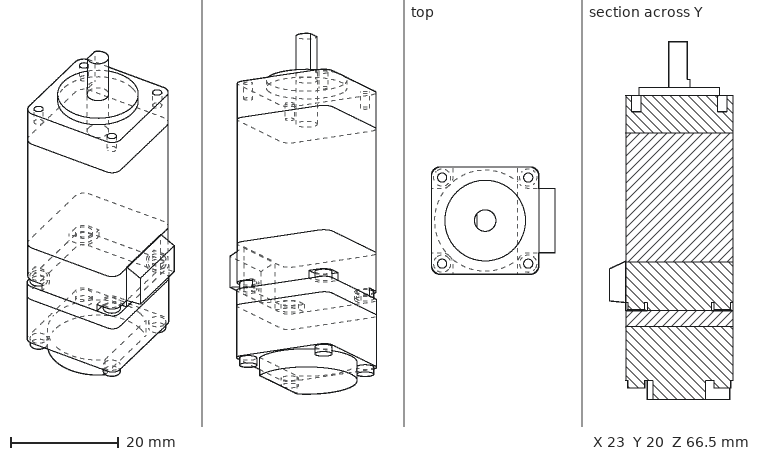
import cadquery as cq

frame_width = 20.0
screw_offset = 8.0
motor_corner_radius = 1.9
encoder_corner_radius = 1.6

socket_height = 3.5
encoder_case_height = 10.0
encoder_plate_height = 3.0
rear_cover_height = 9.0
stator_height = 24.0
front_cover_height = 7.0
pilot_height = 1.5
shaft_projection = 8.5

encoder_case_base = socket_height
encoder_plate_base = encoder_case_base + encoder_case_height
rear_cover_base = encoder_plate_base + encoder_plate_height
stator_base = rear_cover_base + rear_cover_height
front_cover_base = stator_base + stator_height
mounting_face = front_cover_base + front_cover_height
pilot_top = mounting_face + pilot_height
shaft_top = pilot_top + shaft_projection

pilot_diameter = 15.0
mounting_hole_diameter = 1.7
mounting_hole_depth = 3.0
shaft_diameter = 4.0
shaft_flat_offset = 1.5
shaft_flat_length = 7.0

screw_head_diameter = 3.2
encoder_screw_head_height = 1.4
motor_screw_head_height = 1.3
relief_radius = 2.0
relief_depth = 1.5

connector_projection = 3.0
connector_width = 12.0
connector_overhang = 0.2
connector_top = stator_base + connector_overhang
connector_top_drop = 1.4
connector_base = rear_cover_base + relief_depth
connector_underside_rise = 0.3

socket_diameter = 18.8
socket_flat_offset = 6.0


def at_height(z):
    return cq.Workplane("XY", origin=(0, 0, z))


def square_section(base, height, corner_radius):
    block = at_height(base).rect(frame_width, frame_width).extrude(height)
    return block.edges("|Z").fillet(corner_radius)


def corner_cylinders(base, height, diameter):
    """Four cylinders on the screw axes."""
    centres = at_height(base).rect(2 * screw_offset, 2 * screw_offset, forConstruction=True).vertices()
    return centres.circle(diameter / 2).extrude(height)


def make_shaft():
    """D-shaft running from the stator face through the front cover."""
    shaft = at_height(front_cover_base).circle(shaft_diameter / 2).extrude(shaft_top - front_cover_base)
    flat_cut = (
        at_height(shaft_top - shaft_flat_length)
        .center(-shaft_flat_offset - shaft_diameter / 2, 0)
        .rect(shaft_diameter, shaft_diameter)
        .extrude(shaft_flat_length)
    )
    return shaft.cut(flat_cut)


def make_front_cover():
    """Mounting flange with pilot, shaft bore and four blind mounting holes."""
    cover = square_section(front_cover_base, front_cover_height, motor_corner_radius)
    pilot = at_height(mounting_face).circle(pilot_diameter / 2).extrude(pilot_height)
    bore = at_height(front_cover_base).circle(shaft_diameter / 2).extrude(pilot_top - front_cover_base)
    holes = corner_cylinders(mounting_face - mounting_hole_depth, mounting_hole_depth, mounting_hole_diameter)
    return cover.union(pilot).cut(bore).cut(holes)


def make_stator():
    return square_section(stator_base, stator_height, motor_corner_radius)


def make_connector_block():
    """Block on the +X face with sloping upper and lower faces."""
    inner_x = frame_width / 2
    outer_x = inner_x + connector_projection
    side_profile = [
        (inner_x, connector_base),
        (outer_x, connector_base + connector_underside_rise),
        (outer_x, connector_top - connector_top_drop),
        (inner_x, connector_top),
    ]
    profile = cq.Workplane("XZ").polyline(side_profile).close()
    return profile.extrude(connector_width / 2, both=True)


def make_corner_reliefs():
    """Recesses open to both side faces at each corner, rounded about the screw axes."""
    wall = screw_offset - relief_radius
    relief_size = 2 * (frame_width / 2 - wall)
    frame_corners = at_height(rear_cover_base).rect(frame_width, frame_width, forConstruction=True).vertices()
    reliefs = frame_corners.rect(relief_size, relief_size).extrude(relief_depth)
    return reliefs.edges("|Z").fillet(relief_radius)


def make_rear_cover():
    """Rear cover with its connector, and screw heads in the corner reliefs."""
    cover = square_section(rear_cover_base, rear_cover_height, motor_corner_radius)
    head_base = rear_cover_base + relief_depth - motor_screw_head_height
    heads = corner_cylinders(head_base, motor_screw_head_height, screw_head_diameter)
    return cover.cut(make_corner_reliefs()).union(heads).union(make_connector_block())


def make_encoder_plate():
    return square_section(encoder_plate_base, encoder_plate_height, encoder_corner_radius)


def make_encoder_case():
    """Encoder case with the flat-sided round socket and four screw heads beneath."""
    case = square_section(encoder_case_base, encoder_case_height, encoder_corner_radius)
    socket = at_height(0).circle(socket_diameter / 2).extrude(socket_height)
    beyond_flat = (
        at_height(0)
        .center(socket_flat_offset + socket_diameter / 2, 0)
        .rect(socket_diameter, socket_diameter)
        .extrude(socket_height)
    )
    heads = corner_cylinders(
        encoder_case_base - encoder_screw_head_height, encoder_screw_head_height, screw_head_diameter
    )
    return case.union(socket.cut(beyond_flat)).union(heads)


shaft = make_shaft()
front_cover = make_front_cover()
stator = make_stator()
rear_cover = make_rear_cover()
encoder_plate = make_encoder_plate()
encoder_case = make_encoder_case()

result = cq.Compound.makeCompound([
    shaft.val(),
    front_cover.val(),
    stator.val(),
    rear_cover.val(),
    encoder_plate.val(),
    encoder_case.val(),
])